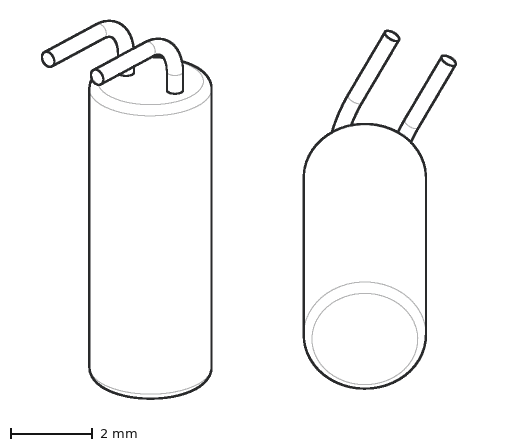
import cadquery as cq

total_height = 9.7
can_diameter = 3.0
can_height = 8.0
can_edge_radius = 0.2

lead_diameter = 0.4
lead_spacing = 1.55
bend_radius = 1.0
lead_reach = 3.0

lead_radius = lead_diameter / 2
lead_axis_height = total_height - lead_radius
bend_start_height = lead_axis_height - bend_radius


def make_can():
    """Upright cylinder with both rims rounded."""
    can = cq.Workplane("XY").circle(can_diameter / 2).extrude(can_height)
    return can.edges("%CIRCLE").fillet(can_edge_radius)


def make_lead(x):
    """Round wire rising from the can top and bent toward -Y."""
    stub = (
        cq.Workplane("XY", origin=(x, 0, can_height - can_edge_radius))
        .circle(lead_radius)
        .extrude(bend_start_height - can_height + can_edge_radius)
    )
    bend = (
        cq.Workplane("XY", origin=(x, 0, bend_start_height))
        .circle(lead_radius)
        .revolve(90, (0, -bend_radius, 0), (1, -bend_radius, 0))
    )
    tail = (
        cq.Workplane("XZ", origin=(x, -bend_radius, lead_axis_height))
        .circle(lead_radius)
        .extrude(lead_reach - bend_radius)
    )
    return stub.union(bend).union(tail)


result = make_can()
for lead_x in (-lead_spacing / 2, lead_spacing / 2):
    result = result.union(make_lead(lead_x))